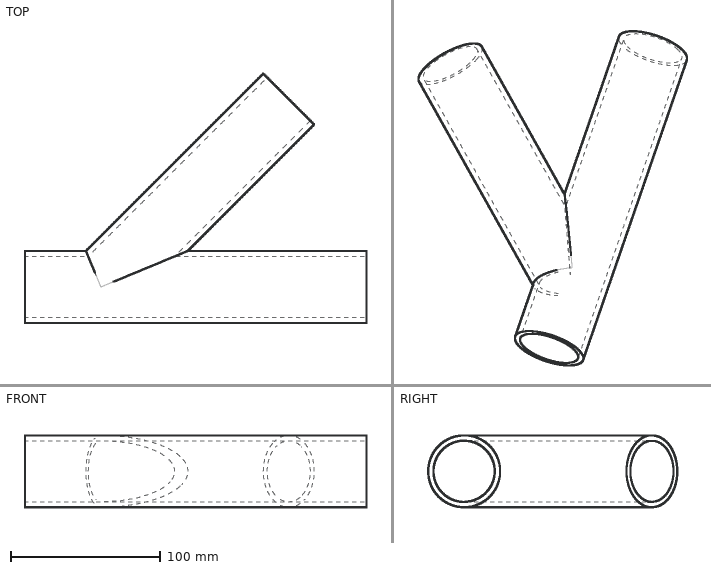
import cadquery as cq
import math

outer_diameter = 48.26
bore_diameter = 40.89

run_length = 228.6
junction_x = 50.8
branch_length = 177.8
branch_angle = 45.0

branch_cosine = math.cos(math.radians(branch_angle))
branch_sine = math.sin(math.radians(branch_angle))
run_start = cq.Vector(0, 0, 0)
run_direction = cq.Vector(1, 0, 0)
junction = cq.Vector(junction_x, 0, 0)
branch_direction = cq.Vector(branch_cosine, branch_sine, 0)


def wye(diameter):
    """Solid run and branch cylinders of one diameter, fused together."""
    radius = diameter / 2
    run = cq.Solid.makeCylinder(radius, run_length, run_start, run_direction)
    branch = cq.Solid.makeCylinder(radius, branch_length, junction, branch_direction)
    return cq.Workplane(run).union(cq.Workplane(branch))


result = wye(outer_diameter).cut(wye(bore_diameter))